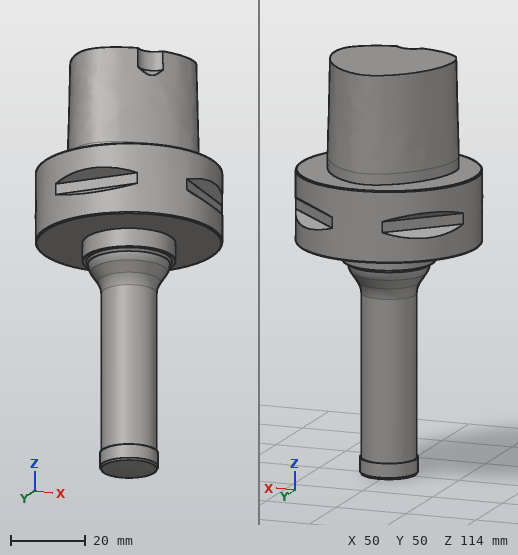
import cadquery as cq
import math


total_length = 114.0
shank_height = 30.0
shank_base_height = 3.1
shank_base_width = 35.2
shank_taper = 1 / 20
lobe_offset = 1.3
outline_points = 48

keyway_radius = 4.6
keyway_depth = 1.9
keyway_straight_length = 5.4
keyway_tip_length = keyway_radius

flange_diameter = 50.0
flange_height = 20.0
flange_chamfer = 0.3
groove_count = 4
groove_floor_distance = 22.0
groove_floor_width = 3.0
groove_mouth_width = 7.0

collar_diameter = 25.0
collar_height = 5.1
collar_chamfer = 0.1
neck_diameter = 22.0
neck_lip_diameter = 23.0
neck_lip_height = 0.8
neck_straight_height = 1.3
neck_cone_height = 5.2
neck_upper_fillet = 3.9
neck_lower_fillet = 5.7
stem_diameter = 14.9

tip_diameter = 15.6
tip_length = 4.7
tip_lead_height = 0.6
tip_lead_width = 0.3
tip_point_height = 0.2

collar_top = -flange_height
collar_bottom = collar_top - collar_height
neck_top = collar_bottom - neck_lip_height
cone_top = neck_top - neck_straight_height
cone_bottom = cone_top - neck_cone_height
tip_bottom = shank_height - total_length
tip_top = tip_bottom + tip_length


def lobed_outline(width):
    """Points of a three-lobed curve of constant width, with one lobe on +Y."""
    points = []
    for i in range(outline_points):
        angle = 2 * math.pi * i / outline_points
        support = width / 2 - lobe_offset * math.sin(3 * angle)
        slope = -3 * lobe_offset * math.cos(3 * angle)
        x = support * math.cos(angle) - slope * math.sin(angle)
        y = support * math.sin(angle) + slope * math.cos(angle)
        points.append((x, y))
    return points


def lobed_wire(width, z):
    return cq.Workplane("XY", origin=(0, 0, z)).spline(lobed_outline(width), periodic=True).close().val()


shank_top_width = shank_base_width - shank_taper * (shank_height - shank_base_height)


def make_shank():
    base_wire = lobed_wire(shank_base_width, 0)
    taper_wire = lobed_wire(shank_base_width, shank_base_height)
    top_wire = lobed_wire(shank_top_width, shank_height)
    base = cq.Solid.makeLoft([base_wire, taper_wire], True)
    taper = cq.Solid.makeLoft([taper_wire, top_wire], True)
    return cq.Workplane(base).union(cq.Workplane(taper))


def make_keyway_cutter():
    flank_y = -(shank_top_width / 2 - lobe_offset)
    axis_y = flank_y + keyway_depth - keyway_radius
    straight_bottom = shank_height - keyway_straight_length
    return (
        cq.Workplane("XZ", origin=(0, axis_y, 0))
        .moveTo(0, shank_height)
        .lineTo(keyway_radius, shank_height)
        .lineTo(keyway_radius, straight_bottom)
        .lineTo(0, straight_bottom - keyway_tip_length)
        .close()
        .revolve(360, (0, 0, 0), (0, 1, 0))
    )


def make_groove_cutter(angle):
    """Straight trapezoidal groove across the flange rim, facing the given angle."""
    flange_radius = flange_diameter / 2
    middle_z = -flange_height / 2
    half_floor = groove_floor_width / 2
    half_mouth = groove_mouth_width / 2
    return (
        cq.Workplane("XZ")
        .moveTo(groove_floor_distance, middle_z - half_floor)
        .lineTo(flange_radius, middle_z - half_mouth)
        .lineTo(flange_radius, middle_z + half_mouth)
        .lineTo(groove_floor_distance, middle_z + half_floor)
        .close()
        .extrude(flange_radius, both=True)
        .rotate((0, 0, 0), (0, 0, 1), angle)
    )


def make_flange():
    flange = cq.Workplane("XY").circle(flange_diameter / 2).extrude(-flange_height)
    flange = flange.faces("<Z or >Z").edges().chamfer(flange_chamfer)
    for i in range(groove_count):
        flange = flange.cut(make_groove_cutter(45 + 360 / groove_count * i))
    return flange


def make_collar():
    collar = cq.Workplane("XY", origin=(0, 0, collar_top)).circle(collar_diameter / 2).extrude(-collar_height)
    return collar.faces("<Z").edges().chamfer(collar_chamfer)


def edge_at(z):
    return cq.selectors.BoxSelector(
        (-collar_diameter, -collar_diameter, z - 0.1), (collar_diameter, collar_diameter, z + 0.1)
    )


def make_neck_and_stem():
    profile = [
        (0, collar_bottom),
        (neck_lip_diameter / 2, collar_bottom),
        (neck_diameter / 2, neck_top),
        (neck_diameter / 2, cone_top),
        (stem_diameter / 2, cone_bottom),
        (stem_diameter / 2, tip_top),
        (0, tip_top),
    ]
    stem = cq.Workplane("XZ").polyline(profile).close().revolve(360, (0, 0, 0), (0, 1, 0))
    stem = stem.edges(edge_at(cone_bottom)).fillet(neck_lower_fillet)
    return stem.edges(edge_at(cone_top)).fillet(neck_upper_fillet)


def make_holder():
    shank = make_shank().cut(make_keyway_cutter())
    return shank.union(make_flange()).union(make_collar()).union(make_neck_and_stem())


def make_cutting_tip():
    """Cutting head on the stem end, with a lead chamfer and a very shallow point."""
    tip_radius = tip_diameter / 2
    point_top = tip_bottom + tip_point_height
    profile = [
        (0, tip_top),
        (tip_radius, tip_top),
        (tip_radius, point_top + tip_lead_height),
        (tip_radius - tip_lead_width, point_top),
        (0, tip_bottom),
    ]
    return cq.Workplane("XZ").polyline(profile).close().revolve(360, (0, 0, 0), (0, 1, 0))


holder = make_holder()
cutting_tip = make_cutting_tip()

result = cq.Compound.makeCompound([holder.solids().val(), cutting_tip.val()])